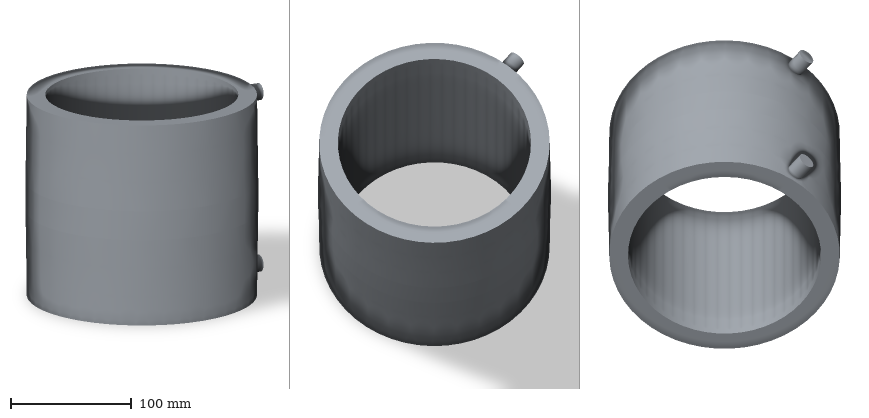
import cadquery as cq

length = 172.0
bore_radius = 80.0
band_radius = 96.5
end_radius = 95.5
band_height = 25.0

pin_diameter = 14.2
pin_tip_y = 111.0
pin_end_distance = 12.25

half_length = length / 2
half_band = band_height / 2
pin_root_y = (bore_radius + end_radius) / 2


def make_sleeve():
    """Revolve the wall: a straight middle band with a slight taper to each end."""
    profile = (
        cq.Workplane("XZ")
        .moveTo(-bore_radius, -half_length)
        .lineTo(-end_radius, -half_length)
        .lineTo(-band_radius, -half_band)
        .lineTo(-band_radius, half_band)
        .lineTo(-end_radius, half_length)
        .lineTo(-bore_radius, half_length)
        .close()
    )
    return profile.revolve(360, (0, 0, 0), (0, 1, 0))


def make_pin(z):
    """Round pin pointing along +Y at height z."""
    return (
        cq.Workplane("XZ", origin=(0, pin_root_y, z))
        .circle(pin_diameter / 2)
        .extrude(-(pin_tip_y - pin_root_y))
    )


result = make_sleeve()
pin_height = half_length - pin_end_distance
for z in (-pin_height, pin_height):
    result = result.union(make_pin(z))